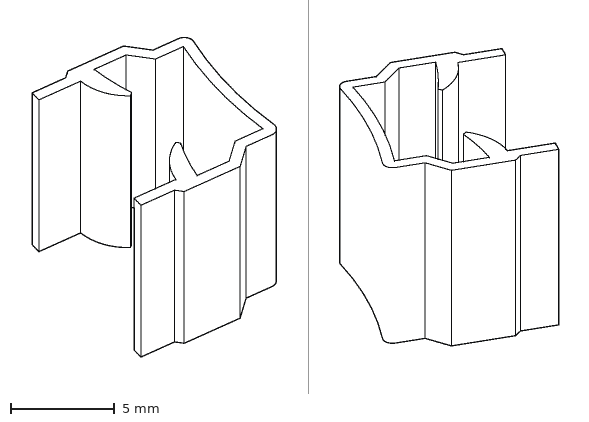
import cadquery as cq
import math

width = 10.2
length = 10.0
wall = 0.6

body_half = width / 2
neck_half = 4.08
leg_half = 4.76

leg_top = 1.94
body_bottom = leg_top + body_half - leg_half
body_top = 5.51
neck_bottom = body_top + body_half - neck_half
shoulder_angle = 45
miter_drop = wall * math.tan(math.radians(shoulder_angle / 2))

back_middle = 8.2
back_outer_radius = 20.71
back_inner_radius = back_outer_radius + wall
back_center = back_middle + back_outer_radius
corner_radius = 0.5

barb_root_bottom = 2.41
barb_root_top = 3.42
barb_upper_middle = (-3.3, 3.65)
barb_tip_top = (-2.13, 4.02)
barb_tip_bottom = (-1.98, 3.84)
barb_lower_middle = (-2.93, 2.86)


def back_height(x, radius):
    """Height of a back wall surface at a distance x from the middle."""
    return back_center - math.sqrt(radius**2 - x**2)


def make_channel():
    """Side walls, legs and back wall, with the two back corners rounded."""
    neck_inner = neck_half - wall
    body_inner = body_half - wall
    leg_inner = leg_half - wall
    outer_corner = back_height(neck_half, back_outer_radius)
    inner_corner = back_height(neck_inner, back_inner_radius)
    outer_side = [
        (leg_half, 0),
        (leg_half, leg_top),
        (body_half, body_bottom),
        (body_half, body_top),
        (neck_half, neck_bottom),
        (neck_half, outer_corner),
    ]
    inner_side = [
        (neck_inner, inner_corner),
        (neck_inner, neck_bottom - miter_drop),
        (body_inner, body_top - miter_drop),
        (body_inner, barb_root_bottom),
        (leg_inner, barb_root_bottom),
        (leg_inner, 0),
    ]
    profile = (
        cq.Workplane("XY")
        .polyline([(-x, y) for x, y in outer_side])
        .threePointArc((0, back_middle), (neck_half, outer_corner))
    )
    for x, y in outer_side[-2::-1] + inner_side[::-1]:
        profile = profile.lineTo(x, y)
    profile = profile.threePointArc((0, back_middle - wall), (-neck_inner, inner_corner))
    for x, y in inner_side[1:]:
        profile = profile.lineTo(-x, y)
    channel = profile.close().extrude(length)
    corner_search = wall / 10
    back_corners = channel.edges("|Z").edges(
        cq.selectors.BoxSelector(
            (-width, outer_corner - corner_search, 0),
            (width, outer_corner + corner_search, length),
        )
    )
    return back_corners.fillet(corner_radius)


def make_barb():
    """Barb on the -X wall, rooted inside the wall thickness."""
    root_x = wall - body_half
    embed_x = root_x - wall / 2
    return (
        cq.Workplane("XY")
        .moveTo(embed_x, barb_root_top)
        .lineTo(root_x, barb_root_top)
        .threePointArc(barb_upper_middle, barb_tip_top)
        .lineTo(*barb_tip_bottom)
        .threePointArc(barb_lower_middle, (wall - leg_half, barb_root_bottom))
        .lineTo(embed_x, barb_root_bottom)
        .close()
        .extrude(length)
    )


barb = make_barb()
result = make_channel().union(barb).union(barb.mirror("YZ")).clean()